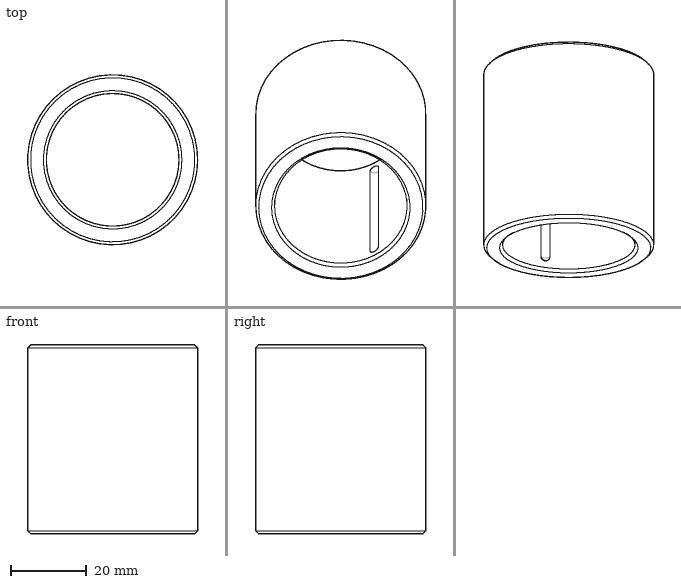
import cadquery as cq

outer_diameter = 45.0
bore_diameter = 35.0
length = 50.0
edge_chamfer = 0.8

groove_radius = 1.25
groove_end_inset = 4.0

bore_radius = bore_diameter / 2


def make_sleeve():
    """Plain sleeve standing on Z, with all four rims chamfered."""
    return (
        cq.Workplane("XY")
        .circle(outer_diameter / 2)
        .circle(bore_radius)
        .extrude(length)
        .faces("<Z or >Z")
        .chamfer(edge_chamfer)
    )


def make_groove_cutter():
    """Ball-ended rod along Z, centred on the +X side of the bore wall."""
    top_end = length - groove_end_inset
    cutter = (
        cq.Workplane("XY", origin=(bore_radius, 0, groove_end_inset))
        .circle(groove_radius)
        .extrude(top_end - groove_end_inset)
    )
    for end_height in (groove_end_inset, top_end):
        ball = cq.Workplane("XY", origin=(bore_radius, 0, end_height)).sphere(groove_radius)
        cutter = cutter.union(ball)
    return cutter


result = make_sleeve().cut(make_groove_cutter())